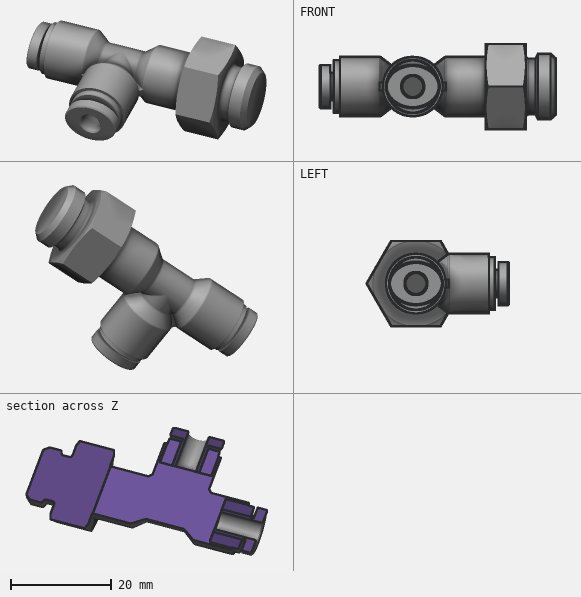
import cadquery as cq
import math

PORT_ANGLES = (180, 270)
STUD_ANGLE = 0

arm_diameter = 11.9
waist_diameter = 8
waist_end = 3.95
shoulder = 6.5
arm_length = 14.5
taper_blend_radius = 0.45
socket_depth = 4.7
gusset_thickness = 1.55
gusset_reach = shoulder + 0.1

ring_diameter = 10.6
ring_protrusion = 1.25
ring_chamfer = 0.15

sleeve_reach = 18.5
sleeve_diameter = 5.5
head_thickness = 2.1
head_width = 10.8
head_height = 8.65
head_chamfer = 0.25
tube_bore = 4.2
bore_chamfer = 0.25

hex_sides = 6
hex_across_flats = 17.0
hex_thickness = 8
hex_chamfer_length = 0.38
hex_chamfer_diameter = hex_across_flats + 0.1
stud_neck_diameter = 11.2
stud_neck_fillet = 0.5
thread_diameter = 13.15
thread_undercut_length = 0.45
thread_start = 24.95
thread_chamfer_length = 1.1
stud_end = 28.5

selection_margin = 0.05

socket_floor = arm_length - socket_depth
ring_face = arm_length + ring_protrusion
head_back = sleeve_reach - head_thickness
hex_end = arm_length + hex_thickness
hex_across_corners = hex_across_flats / math.cos(math.pi / hex_sides)


def rod(diameter, start, end):
    """Cylinder on the X axis between two distances from the origin."""
    return cq.Workplane("YZ").workplane(offset=start).circle(diameter / 2).extrude(end - start)


def turned(profile):
    """Solid of revolution about X from (distance, radius) points."""
    return cq.Workplane("XY").polyline(profile).close().revolve(360, (0, 0, 0), (1, 0, 0))


def edges_between(start, end, diameter):
    """Selector for whole edges near the X axis, from start to end and within a diameter."""
    half_size = diameter / 2 + selection_margin
    return cq.selectors.BoxSelector(
        (start - selection_margin, -half_size, -half_size),
        (end + selection_margin, half_size, half_size),
        boundingbox=True,
    )


def turn(body, angle):
    """Turn a body modelled along +X to the direction of its arm."""
    return body.rotate((0, 0, 0), (0, 0, 1), angle)


def make_arm():
    """Narrow waist that tapers out to the full arm diameter, with blended taper ends."""
    arm = turned([
        (0, 0),
        (0, waist_diameter / 2),
        (waist_end, waist_diameter / 2),
        (shoulder, arm_diameter / 2),
        (arm_length, arm_diameter / 2),
        (arm_length, 0),
    ])
    taper_ends = edges_between(waist_end, shoulder, arm_diameter)
    return arm.edges("%CIRCLE").edges(taper_ends).fillet(taper_blend_radius)


def make_gusset():
    """Flat web that fills the two corners between the branch and the straight arms."""
    arm_radius = arm_diameter / 2
    return (
        cq.Workplane("XY")
        .polyline([
            (-gusset_reach, 0),
            (-gusset_reach, -arm_radius),
            (-arm_radius, -gusset_reach),
            (arm_radius, -gusset_reach),
            (gusset_reach, -arm_radius),
            (gusset_reach, 0),
        ])
        .close()
        .extrude(gusset_thickness / 2, both=True)
    )


def make_tee():
    tee = turn(make_arm(), STUD_ANGLE)
    for angle in PORT_ANGLES:
        tee = tee.union(turn(make_arm(), angle))
    tee = tee.union(make_gusset())
    for angle in PORT_ANGLES:
        tee = tee.cut(turn(rod(ring_diameter, socket_floor, arm_length), angle))
    return tee


def make_ring():
    ring = rod(ring_diameter, socket_floor, ring_face).faces(">X").chamfer(ring_chamfer)
    return ring.cut(rod(sleeve_diameter, socket_floor, ring_face))


def make_sleeve():
    """Tube with an oval push head on its outer end; the bore runs right through."""
    head = (
        cq.Workplane("YZ")
        .workplane(offset=head_back)
        .ellipse(head_width / 2, head_height / 2)
        .extrude(head_thickness)
        .faces(">X")
        .chamfer(head_chamfer)
    )
    sleeve = head.union(rod(sleeve_diameter, socket_floor, head_back))
    sleeve = sleeve.cut(rod(tube_bore, socket_floor, sleeve_reach))
    bore_mouth = cq.selectors.RadiusNthSelector(0)
    return sleeve.faces(">X").edges("%CIRCLE").edges(bore_mouth).chamfer(bore_chamfer)


def make_hex():
    """Hexagon with corners on Y, its corners turned off by a shallow cone at both faces."""
    hexagon = (
        cq.Workplane("YZ")
        .workplane(offset=arm_length)
        .polygon(hex_sides, hex_across_corners)
        .extrude(hex_thickness)
    )
    chamfer_envelope = turned([
        (arm_length, 0),
        (arm_length, hex_chamfer_diameter / 2),
        (arm_length + hex_chamfer_length, hex_across_corners / 2),
        (hex_end - hex_chamfer_length, hex_across_corners / 2),
        (hex_end, hex_chamfer_diameter / 2),
        (hex_end, 0),
    ])
    return hexagon.intersect(chamfer_envelope)


def make_stud():
    """Hexagon, neck and thread in one piece, butted against the end of the stud arm."""
    neck_radius = stud_neck_diameter / 2
    thread_radius = thread_diameter / 2
    shank = turned([
        (arm_length, 0),
        (arm_length, neck_radius),
        (thread_start - thread_undercut_length, neck_radius),
        (thread_start, thread_radius),
        (stud_end - thread_chamfer_length, thread_radius),
        (stud_end, neck_radius),
        (stud_end, 0),
    ])
    stud = make_hex().union(shank)
    neck_root = edges_between(hex_end, hex_end, stud_neck_diameter)
    return turn(stud.edges(neck_root).fillet(stud_neck_fillet), STUD_ANGLE)


tee = make_tee()
stud = make_stud()
rings = [turn(make_ring(), angle) for angle in PORT_ANGLES]
sleeves = [turn(make_sleeve(), angle) for angle in PORT_ANGLES]

result = cq.Compound.makeCompound([
    tee.val(),
    stud.val(),
    *[ring.val() for ring in rings],
    *[sleeve.val() for sleeve in sleeves],
])